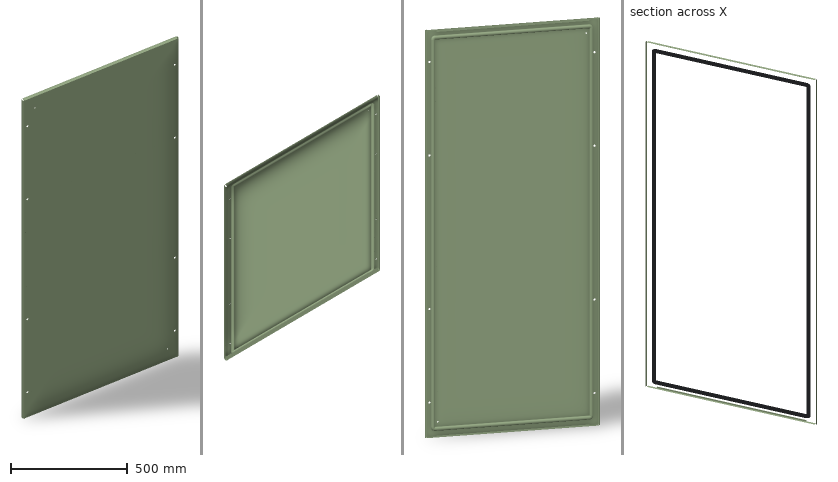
import cadquery as cq
import math

DEPTH = 17.0
WIDTH = 788.6
HEIGHT = 1796.0
SHEET = 1.5

BEND_RADIUS = 8.0
LEAN_ANGLE = math.radians(15)
RIM_X = 1.0
BEND_X = DEPTH - BEND_RADIUS
SHEET_HALF_WIDTH = WIDTH / 2 - BEND_RADIUS

TAB_LENGTH = 3.0
TAB_WIDTH = 1.5
BODY_HEIGHT = HEIGHT - 2 * TAB_LENGTH
END_LIP_DEPTH = 7.5
END_LIP_HALF_WIDTH = WIDTH / 2 - 50.0

BEAD_RADIUS = 9.0
BEAD_INSET = 38.0
BEAD_Y = WIDTH / 2 - BEAD_INSET
BEAD_Z = HEIGHT / 2 - BEAD_INSET
STRAIGHT_END_Y = BEAD_Y - BEAD_RADIUS
STRAIGHT_END_Z = BEAD_Z - BEAD_RADIUS

MOUNT_HOLE_DIAMETER = 10.0
MOUNT_HOLE_Y = WIDTH / 2 - 22.5
MOUNT_HOLE_HEIGHTS = (749.0, 338.0, -338.0, -749.0)
MOUNT_HOLE_SHIFT = 5.5

SMALL_HOLE_DIAMETER = 6.5
SMALL_HOLE_Y = WIDTH / 2 - 60.0
SMALL_HOLE_Z = HEIGHT / 2 - 67.8

SHEET_INNER_X = DEPTH - SHEET
SIDES = (1, -1)


def box_between(x_range, y_range, z_range):
    """Axis-aligned box spanning the given (low, high) ranges."""
    lows, highs = zip(x_range, y_range, z_range)
    sizes = [high - low for low, high in zip(lows, highs)]
    return cq.Workplane("XY").box(*sizes, centered=False).translate(lows)


def make_sheet():
    """Flat back sheet between the two long bends."""
    half_y = SHEET_HALF_WIDTH
    half_z = BODY_HEIGHT / 2
    return box_between((SHEET_INNER_X, DEPTH), (-half_y, half_y), (-half_z, half_z))


def make_long_edge(side):
    """Bend and leaning wall along one long edge, ending in a flat rim."""

    def bend_point(radius, lean):
        """Point on the bend where its surface leans inward by `lean` (negative nearer the sheet)."""
        x = BEND_X - radius * math.sin(lean)
        return (x, side * (SHEET_HALF_WIDTH + radius * math.cos(lean)))

    def rim_point(radius):
        """Point where the wall running on from the bend of this radius meets the rim plane."""
        wall_x, wall_y = bend_point(radius, LEAN_ANGLE)
        return (RIM_X, wall_y - side * (wall_x - RIM_X) * math.tan(LEAN_ANGLE))

    at_sheet = -math.pi / 2
    halfway = (at_sheet + LEAN_ANGLE) / 2
    inner_radius = BEND_RADIUS - SHEET
    return (
        cq.Workplane("XY")
        .workplane(offset=-BODY_HEIGHT / 2)
        .moveTo(*bend_point(BEND_RADIUS, at_sheet))
        .threePointArc(bend_point(BEND_RADIUS, halfway), bend_point(BEND_RADIUS, LEAN_ANGLE))
        .lineTo(*rim_point(BEND_RADIUS))
        .lineTo(*rim_point(inner_radius))
        .lineTo(*bend_point(inner_radius, LEAN_ANGLE))
        .threePointArc(bend_point(inner_radius, halfway), bend_point(inner_radius, at_sheet))
        .close()
        .extrude(BODY_HEIGHT)
    )


def make_end_flange(side):
    """Wall across the top or bottom end, with a lip folded inward at the open face."""
    outer_z = side * BODY_HEIGHT / 2
    wall_z = sorted((outer_z, outer_z - side * SHEET))
    lip_z = sorted((outer_z, outer_z - side * END_LIP_DEPTH))
    wall = box_between((0, DEPTH), (-SHEET_HALF_WIDTH, SHEET_HALF_WIDTH), wall_z)
    lip = box_between((0, SHEET), (-END_LIP_HALF_WIDTH, END_LIP_HALF_WIDTH), lip_z)
    return wall.union(lip)


def make_tab_strip(side):
    """Narrow strip of the sheet along one side whose two ends project as tabs."""
    y_range = sorted((side * SHEET_HALF_WIDTH, side * (SHEET_HALF_WIDTH - TAB_WIDTH)))
    return box_between((SHEET_INNER_X, DEPTH), y_range, (-HEIGHT / 2, HEIGHT / 2))


def bead_profile(plane, across, along):
    """Half disc standing on the sheet, centred at `across`, in the plane offset by `along`."""
    return (
        cq.Workplane(plane)
        .workplane(offset=along)
        .moveTo(SHEET_INNER_X, across - BEAD_RADIUS)
        .threePointArc((SHEET_INNER_X - BEAD_RADIUS, across), (SHEET_INNER_X, across + BEAD_RADIUS))
        .close()
    )


def make_bead():
    """Closed bead loop: four straight runs joined by quarter-turn corners."""
    bead = cq.Workplane("XY")
    for side in SIDES:
        upright = bead_profile("XY", side * BEAD_Y, -STRAIGHT_END_Z).extrude(2 * STRAIGHT_END_Z)
        crossbar = bead_profile("XZ", side * BEAD_Z, -STRAIGHT_END_Y).extrude(2 * STRAIGHT_END_Y)
        bead = bead.union(upright).union(crossbar)
    for y_side in SIDES:
        for z_side in SIDES:
            pivot_y = y_side * STRAIGHT_END_Y
            profile = bead_profile("XY", y_side * BEAD_Y, z_side * STRAIGHT_END_Z)
            corner = profile.revolve(90, (0, pivot_y), (y_side * z_side, pivot_y))
            bead = bead.union(corner)
    return bead


def make_hole_cutter(points, diameter):
    """Cylinders through the sheet at the given (y, z) points."""
    return (
        cq.Workplane("YZ")
        .workplane(offset=SHEET_INNER_X)
        .pushPoints(points)
        .circle(diameter / 2)
        .extrude(SHEET)
    )


panel = make_sheet().union(make_bead())
for side in SIDES:
    panel = panel.union(make_long_edge(side))
    panel = panel.union(make_tab_strip(side))
    panel = panel.union(make_end_flange(side))

mount_points = [
    (side * MOUNT_HOLE_Y, height + side * MOUNT_HOLE_SHIFT)
    for side in SIDES
    for height in MOUNT_HOLE_HEIGHTS
]
small_points = [(side * SMALL_HOLE_Y, -side * SMALL_HOLE_Z) for side in SIDES]
panel = panel.cut(make_hole_cutter(mount_points, MOUNT_HOLE_DIAMETER))
panel = panel.cut(make_hole_cutter(small_points, SMALL_HOLE_DIAMETER))

result = panel